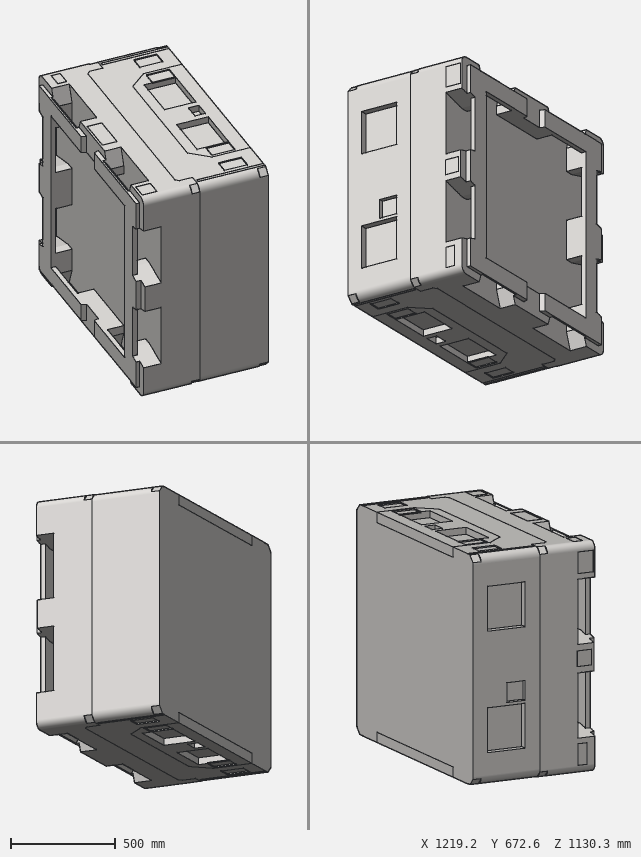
import cadquery as cq


WIDTH = 1219.2
HEIGHT = 1130.3
LENGTH = 672.59
HALF_WIDTH = WIDTH / 2
HALF_HEIGHT = HEIGHT / 2

CORNER_FOOT_LEVEL = 19.05
SKID_SEAT_LEVEL = 25.4
DECK_LEVEL = 111.0
PARTING_LEVEL = 314.0

BASE_EDGE_RADIUS = 38.1
LID_EDGE_RADIUS = 44.45
BASE_FLAT_LEG = 31.75
LID_FLAT_LEG = 34.5
BASE_FLAT_LENGTH = 41.3
LID_FLAT_LENGTH = 44.45

RING_INNER_X = 428.0
RING_INNER_Z = 433.0
FORK_CENTRE_X = 301.0
FORK_CENTRE_Z = 230.0
FORK_OUTER_WIDTH = 320.0
FORK_INNER_WIDTH = 254.0
FORK_STRAIGHT_LENGTH = 44.45
SKID_HALF_X = 564.0
SKID_HALF_Z = 524.0
SKID_NOTCH_X = 523.0
SKID_RAMP = 16.0
SKID_GAP_FRONT = 154.0
SKID_GAP_BACK = 134.0

FLAP_HALF_WIDTH = 522.0
FLAP_END_LEVEL = 228.6
FLAP_CORNER = 16.0
FLAP_THICKNESS = 25.4

GROOVE_WIDTH = 16.0
GROOVE_DEPTH = 1.0
GROOVE_END_LEVEL = 324.0

PANEL_HALF_WIDTH = 398.0
PANEL_END_HALF_WIDTH = 318.0
PANEL_SHOULDER_LEVEL = 471.0
PANEL_END_LEVEL = 379.0
PANEL_THICKNESS = 50.8

POCKET_TOP_LEVEL = 599.0
HANDLE_DEPTH = 34.0
HANDLE_CENTRE_X = 189.5
HANDLE_SIZE = (237.0, 165.0)
LATCH_SIZE = (77.0, 55.0)
LABEL_SIZE = (72.0, 120.0)
PANEL_LABEL_CENTRE_X = 347.5
LID_LABEL_CENTRE_X = 492.5
LABEL_DEPTH = 6.0

SIDE_POCKET_LOW_LEVEL = 393.0
SIDE_POCKET_CENTRE_Z = 298.0
SIDE_POCKET_SIZE = (201.0, 220.0)
SIDE_POCKET_DEPTH = 37.0
SMALL_POCKET_CENTRE_Z = -124.5
SMALL_POCKET_SIZE = (97.0, 97.0)
SMALL_POCKET_DEPTH = 25.0

PLATE_DEPTH = 0.8
PLATE_TOP_LEVEL = 109.0
MID_PLATE_TOP_LEVEL = 114.0
MID_PLATE_LENGTH = 76.5
SHORT_PLATE_LENGTH = 46.5
TOP_MID_PLATE_WIDTH = 178.0
SIDE_MID_PLATE_WIDTH = 77.0
TOP_PLATE_CENTRE_X = 525.0
TOP_PLATE_WIDTH = 77.0
TOP_LONG_PLATE_LENGTH = 76.5
SIDE_PLATE_CENTRE_Z = 470.5
SIDE_PLATE_WIDTH = 106.0
SIDE_LONG_PLATE_LENGTH = 81.0

SIDES = (-1, 1)


def block(x_range, y_range, z_range):
    """Box between two limits on each axis, given in either order."""
    sizes = [abs(b - a) for a, b in (x_range, y_range, z_range)]
    centre = tuple((a + b) / 2 for a, b in (x_range, y_range, z_range))
    return cq.Workplane("XY").box(*sizes).translate(centre)


def centred(centre, size):
    return (centre - size / 2, centre + size / 2)


def prism_along_y(points, y_range):
    """Outline of (x, z) points, extruded along Y."""
    low, high = y_range
    return cq.Workplane("XZ", origin=(0, low, 0)).polyline(points).close().extrude(low - high)


def prism_along_z(points, side, thickness):
    """Outline of (x, y) points, sunk inwards from the +Z or -Z side."""
    plane = cq.Workplane("XY", origin=(0, 0, side * HALF_HEIGHT))
    return plane.polyline(points).close().extrude(-side * thickness)


def rounded_block(y_range, edge_radius, flat_range, flat_leg):
    """Full-section block with rounded Y edges that are cut flat over flat_range."""
    body = block((-HALF_WIDTH, HALF_WIDTH), y_range, (-HALF_HEIGHT, HALF_HEIGHT))
    body = body.edges("|Y").fillet(edge_radius)
    for side_x in SIDES:
        for side_z in SIDES:
            x = side_x * HALF_WIDTH
            z = side_z * HALF_HEIGHT
            corner = [(x, z), (x - side_x * flat_leg, z), (x, z - side_z * flat_leg)]
            body = body.cut(prism_along_y(corner, flat_range))
    return body


def top_pocket(side, centre_x, size, high_level, depth):
    """Rectangular pocket in the +Z or -Z side, hanging down from high_level."""
    width, length = size
    z = side * HALF_HEIGHT
    return block(centred(centre_x, width), (high_level - length, high_level), (z - side * depth, z))


def side_pocket(centre_z, width, y_range, depth):
    """Rectangular pocket in the -X side."""
    return block((-HALF_WIDTH, -HALF_WIDTH + depth), y_range, centred(centre_z, width))


def fork_opening(across_x, side, centre):
    """Opening through one side of the foot ring: flared at the mouth, then straight."""
    wide = FORK_OUTER_WIDTH / 2
    narrow = FORK_INNER_WIDTH / 2
    outer = side * (HALF_WIDTH if across_x else HALF_HEIGHT)
    inner = side * (RING_INNER_X if across_x else RING_INNER_Z)
    throat = inner + side * FORK_STRAIGHT_LENGTH
    outline = [
        (outer, centre - wide),
        (outer, centre + wide),
        (throat, centre + narrow),
        (inner, centre + narrow),
        (inner, centre - narrow),
        (throat, centre - narrow),
    ]
    if not across_x:
        outline = [(along, through) for through, along in outline]
    return prism_along_y(outline, (0, DECK_LEVEL))


def flap(side):
    shoulder = FLAP_END_LEVEL + FLAP_CORNER
    tip = FLAP_HALF_WIDTH - FLAP_CORNER
    outline = [
        (-FLAP_HALF_WIDTH, PARTING_LEVEL),
        (-FLAP_HALF_WIDTH, shoulder),
        (-tip, FLAP_END_LEVEL),
        (tip, FLAP_END_LEVEL),
        (FLAP_HALF_WIDTH, shoulder),
        (FLAP_HALF_WIDTH, PARTING_LEVEL),
    ]
    return prism_along_z(outline, side, FLAP_THICKNESS)


def panel_blank(side):
    outline = [
        (-PANEL_HALF_WIDTH, LENGTH),
        (-PANEL_HALF_WIDTH, PANEL_SHOULDER_LEVEL),
        (-PANEL_END_HALF_WIDTH, PANEL_END_LEVEL),
        (PANEL_END_HALF_WIDTH, PANEL_END_LEVEL),
        (PANEL_HALF_WIDTH, PANEL_SHOULDER_LEVEL),
        (PANEL_HALF_WIDTH, LENGTH),
    ]
    return prism_along_z(outline, side, PANEL_THICKNESS)


def make_panel(side):
    panel = panel_blank(side)
    panel = panel.cut(top_pocket(side, 0, LATCH_SIZE, POCKET_TOP_LEVEL, HANDLE_DEPTH))
    for side_x in SIDES:
        handle_x = side_x * HANDLE_CENTRE_X
        label_x = side_x * PANEL_LABEL_CENTRE_X
        panel = panel.cut(top_pocket(side, handle_x, HANDLE_SIZE, POCKET_TOP_LEVEL, HANDLE_DEPTH))
        panel = panel.cut(top_pocket(side, label_x, LABEL_SIZE, POCKET_TOP_LEVEL, LABEL_DEPTH))
    return panel


def make_lid():
    lid = rounded_block(
        (PARTING_LEVEL, LENGTH),
        LID_EDGE_RADIUS,
        (LENGTH - LID_FLAT_LENGTH, LENGTH),
        LID_FLAT_LEG,
    )
    for side in SIDES:
        lid = lid.union(flap(side)).cut(panel_blank(side))
        z = side * HALF_HEIGHT
        for side_x in SIDES:
            groove_outer = side_x * (HALF_WIDTH - LID_EDGE_RADIUS)
            groove_inner = groove_outer - side_x * GROOVE_WIDTH
            groove_z = (z - side * GROOVE_DEPTH, z)
            lid = lid.cut(block((groove_outer, groove_inner), (GROOVE_END_LEVEL, LENGTH), groove_z))
            label_x = side_x * LID_LABEL_CENTRE_X
            lid = lid.cut(top_pocket(side, label_x, LABEL_SIZE, POCKET_TOP_LEVEL, LABEL_DEPTH))

    length, width = SIDE_POCKET_SIZE
    large_range = (SIDE_POCKET_LOW_LEVEL, SIDE_POCKET_LOW_LEVEL + length)
    for side in SIDES:
        lid = lid.cut(side_pocket(side * SIDE_POCKET_CENTRE_Z, width, large_range, SIDE_POCKET_DEPTH))
    length, width = SMALL_POCKET_SIZE
    small_range = (SIDE_POCKET_LOW_LEVEL, SIDE_POCKET_LOW_LEVEL + length)
    return lid.cut(side_pocket(SMALL_POCKET_CENTRE_Z, width, small_range, SMALL_POCKET_DEPTH))


def cut_foot_plates(base):
    """Shallow recesses on the outer faces of the +Z and -X feet."""
    top_plates = [
        (-TOP_PLATE_CENTRE_X, TOP_PLATE_WIDTH, SHORT_PLATE_LENGTH, PLATE_TOP_LEVEL),
        (0, TOP_MID_PLATE_WIDTH, MID_PLATE_LENGTH, MID_PLATE_TOP_LEVEL),
        (TOP_PLATE_CENTRE_X, TOP_PLATE_WIDTH, TOP_LONG_PLATE_LENGTH, PLATE_TOP_LEVEL),
    ]
    for centre_x, width, length, level in top_plates:
        base = base.cut(top_pocket(1, centre_x, (width, length), level, PLATE_DEPTH))
    side_plates = [
        (-SIDE_PLATE_CENTRE_Z, SIDE_PLATE_WIDTH, SHORT_PLATE_LENGTH, PLATE_TOP_LEVEL),
        (0, SIDE_MID_PLATE_WIDTH, MID_PLATE_LENGTH, MID_PLATE_TOP_LEVEL),
        (SIDE_PLATE_CENTRE_Z, SIDE_PLATE_WIDTH, SIDE_LONG_PLATE_LENGTH, PLATE_TOP_LEVEL),
    ]
    for centre_z, width, length, level in side_plates:
        base = base.cut(side_pocket(centre_z, width, (level - length, level), PLATE_DEPTH))
    return base


def skid_ramp(side, side_z):
    """Wedge off the upper outer edge of a skid arm, where the forks enter."""
    z = side_z * SKID_HALF_Z
    half = FORK_OUTER_WIDTH / 2
    centre = side * FORK_CENTRE_X
    profile = [
        (SKID_SEAT_LEVEL, z),
        (SKID_SEAT_LEVEL - SKID_RAMP, z),
        (SKID_SEAT_LEVEL, z - side_z * SKID_RAMP),
    ]
    wedge = cq.Workplane("YZ", origin=(centre - half, 0, 0)).polyline(profile).close()
    return wedge.extrude(FORK_OUTER_WIDTH).intersect(fork_opening(False, side_z, centre))


def skid(side):
    """C-shaped skid under the feet of one half, with sloped ends at the middle."""
    level_range = (0, SKID_SEAT_LEVEL)
    half_plan = [
        (side * SKID_GAP_FRONT / 2, 0),
        (side * SKID_HALF_X, 0),
        (side * SKID_HALF_X, SKID_SEAT_LEVEL),
        (side * SKID_GAP_BACK / 2, SKID_SEAT_LEVEL),
    ]
    plan = cq.Workplane("XY", origin=(0, 0, -SKID_HALF_Z)).polyline(half_plan).close()
    runner = plan.extrude(2 * SKID_HALF_Z)
    runner = runner.cut(block((0, side * RING_INNER_X), level_range, (-RING_INNER_Z, RING_INNER_Z)))
    notch_zone = block(
        (side * SKID_NOTCH_X, side * HALF_WIDTH), level_range, (-HALF_HEIGHT, HALF_HEIGHT)
    )
    for side_z in SIDES:
        runner = runner.cut(fork_opening(True, side, side_z * FORK_CENTRE_Z).intersect(notch_zone))
        runner = runner.cut(skid_ramp(side, side_z))
    return runner


def make_base():
    base = rounded_block(
        (CORNER_FOOT_LEVEL, PARTING_LEVEL),
        BASE_EDGE_RADIUS,
        (PARTING_LEVEL - BASE_FLAT_LENGTH, PARTING_LEVEL),
        BASE_FLAT_LEG,
    )
    for side in SIDES:
        base = base.cut(flap(side))

    inner_x = (-RING_INNER_X, RING_INNER_X)
    inner_z = (-RING_INNER_Z, RING_INNER_Z)
    base = base.cut(block(inner_x, (0, DECK_LEVEL), inner_z))
    for side in SIDES:
        for position in SIDES:
            base = base.cut(fork_opening(True, side, position * FORK_CENTRE_Z))
            base = base.cut(fork_opening(False, side, position * FORK_CENTRE_X))

    seat = (0, SKID_SEAT_LEVEL)
    full_x = (-HALF_WIDTH, HALF_WIDTH)
    full_z = (-HALF_HEIGHT, HALF_HEIGHT)
    base = base.cut(block((-SKID_HALF_X, SKID_HALF_X), seat, (-SKID_HALF_Z, SKID_HALF_Z)))
    base = base.cut(block((-FORK_CENTRE_X, FORK_CENTRE_X), seat, full_z))
    base = base.cut(block(full_x, seat, (-FORK_CENTRE_Z, FORK_CENTRE_Z)))
    for side in SIDES:
        base = base.union(skid(side))
    return cut_foot_plates(base)


lid = make_lid()
base = make_base()
panels = [make_panel(side) for side in SIDES]

result = cq.Compound.makeCompound(
    [lid.val(), base.val(), *[panel.val() for panel in panels]]
)